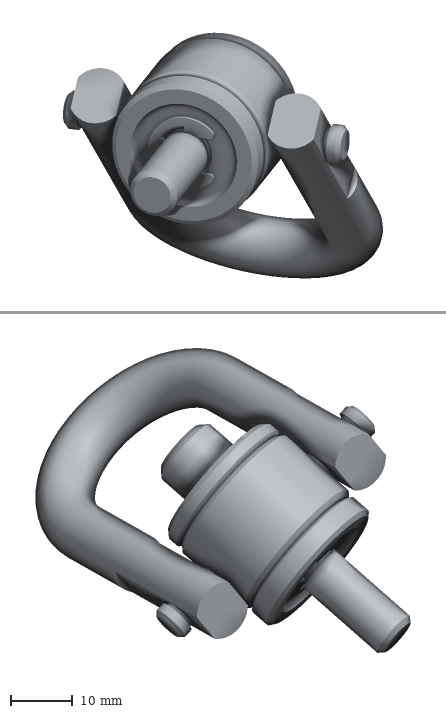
import cadquery as cq
import math


housing_radius = 12.7
housing_half_length = 7.6
housing_chamfer = 0.85
journal_radius = 2.5
journal_end_x = 21.0
collar_radius = 2.6
trunnion_head_radius = 3.15
trunnion_head_length = 2.25
trunnion_head_chamfer = 0.7
trunnion_end_x = 23.6

shackle_tilt = 45
bar_radius = 4.85
leg_x = 16.7
leg_end = 8.0
leg_length = 34.9
flat_outer_x = 20.7
flat_inner_x = 12.9
flat_length = 17.5
flat_run_out = 0.5

bolt_radius = 4.0
bolt_tip_y = -28.8
bolt_tip_chamfer = 0.85
neck_radius = 3.5
flange_radius = 12.4
flange_thickness = 3.3
flange_edge_width = 0.85
flange_rear_chamfer = 0.9
flange_inner_chamfer = 0.7
head_radius = 5.95
head_end_y = 18.7
head_chamfer = 1.3

sleeve_radius = 7.7
bore_chamfer = 0.4
bush_flange_thickness = 4.4
bush_front_chamfer = 0.6
recess_radius = 9.05
recess_fillet = 0.9
recess_depth = 1.25

ring_radius = 6.3
ring_thickness = 0.6
ring_opening = 6.3
ring_tip_x = 4.8
ring_tip_fillet = 0.6
relief_radius = 4.85
relief_start_angle = 92
relief_end_angle = 153

flange_rear_y = housing_half_length + flange_thickness
bush_front_y = -housing_half_length - bush_flange_thickness
recess_floor_y = bush_front_y + recess_depth


def revolve_about_y(points):
    """Turn an outline of (radius, y) points about the Y axis."""
    return cq.Workplane("XY").polyline(points).close().revolve(360, (0, 0, 0), (0, 1, 0))


def cylinder_x(radius, start_x, end_x):
    """Cylinder along the X axis."""
    return cq.Workplane("YZ", origin=(start_x, 0, 0)).circle(radius).extrude(end_x - start_x)


def make_housing():
    barrel = cq.Workplane("XZ").circle(housing_radius).extrude(housing_half_length, both=True)
    housing = barrel.faces("|Y").chamfer(housing_chamfer)
    head_start_x = trunnion_end_x - trunnion_head_length
    trunnion = cylinder_x(journal_radius, 0, journal_end_x)
    trunnion = trunnion.union(cylinder_x(collar_radius, journal_end_x, head_start_x))
    head = cylinder_x(trunnion_head_radius, head_start_x, trunnion_end_x)
    trunnion = trunnion.union(head.faces(">X").chamfer(trunnion_head_chamfer))
    housing = housing.union(trunnion).union(trunnion.mirror("YZ"))
    bore = cq.Workplane("XZ").circle(sleeve_radius).extrude(housing_half_length, both=True)
    return housing.cut(bore)


def flat_cutter(flat_x, clear_x):
    """Block that mills one leg to the plane X = flat_x, from the free end to a sloped run-out."""
    slope_end = flat_length + flat_run_out
    outline = [(flat_x, -leg_end), (flat_x, flat_length), (clear_x, slope_end), (clear_x, -leg_end)]
    return cq.Workplane("XY", origin=(0, 0, -bar_radius)).polyline(outline).close().extrude(2 * bar_radius)


def make_shackle():
    path = (
        cq.Workplane("XY")
        .moveTo(leg_x, -leg_end)
        .lineTo(leg_x, leg_length)
        .threePointArc((0, leg_length + leg_x), (-leg_x, leg_length))
        .lineTo(-leg_x, -leg_end)
    )
    shackle = cq.Workplane("XZ", origin=(leg_x, -leg_end, 0)).circle(bar_radius).sweep(path)
    cutters = [
        flat_cutter(flat_outer_x, leg_x + bar_radius),
        flat_cutter(flat_inner_x, leg_x - bar_radius),
    ]
    for cutter in cutters:
        shackle = shackle.cut(cutter).cut(cutter.mirror("YZ"))
    shackle = shackle.cut(cylinder_x(journal_radius, -trunnion_end_x, trunnion_end_x))
    return shackle.rotate((0, 0, 0), (1, 0, 0), -shackle_tilt)


def make_bolt():
    flange_edge_radius = flange_radius - flange_edge_width
    return revolve_about_y([
        (0, bolt_tip_y),
        (bolt_radius - bolt_tip_chamfer, bolt_tip_y),
        (bolt_radius, bolt_tip_y + bolt_tip_chamfer),
        (bolt_radius, bush_front_y),
        (neck_radius, bush_front_y),
        (neck_radius, recess_floor_y),
        (bolt_radius, recess_floor_y),
        (bolt_radius, housing_half_length),
        (flange_edge_radius, housing_half_length),
        (flange_radius, housing_half_length + flange_inner_chamfer),
        (flange_radius, flange_rear_y - flange_rear_chamfer),
        (flange_edge_radius, flange_rear_y),
        (head_radius, flange_rear_y),
        (head_radius, head_end_y - head_chamfer),
        (head_radius - head_chamfer, head_end_y),
        (0, head_end_y),
    ])


def recess_floor_plane():
    """Plane of the recess floor, facing the bolt tip."""
    return cq.Workplane("XZ", origin=(0, recess_floor_y, 0))


def make_bush():
    flange_edge_radius = flange_radius - flange_edge_width
    bush = revolve_about_y([
        (bolt_radius, recess_floor_y + bore_chamfer),
        (bolt_radius + bore_chamfer, recess_floor_y),
        (bolt_radius + bore_chamfer, bush_front_y),
        (flange_edge_radius, bush_front_y),
        (flange_radius, bush_front_y + bush_front_chamfer),
        (flange_radius, -housing_half_length - flange_inner_chamfer),
        (flange_edge_radius, -housing_half_length),
        (sleeve_radius, -housing_half_length),
        (sleeve_radius, housing_half_length),
        (bolt_radius, housing_half_length),
    ])
    recess = recess_floor_plane().circle(recess_radius).extrude(recess_depth)
    return bush.cut(recess.faces(">Y").edges().fillet(recess_fillet))


def polar(radius, angle):
    """Point at a distance and an angle in degrees from the origin."""
    return radius * math.cos(math.radians(angle)), radius * math.sin(math.radians(angle))


def relief_slot():
    """Clearance between the ring and the bolt, on the upper side."""
    middle_angle = (relief_start_angle + relief_end_angle) / 2
    return (
        recess_floor_plane()
        .lineTo(*polar(relief_radius, relief_start_angle))
        .threePointArc(polar(relief_radius, middle_angle), polar(relief_radius, relief_end_angle))
        .close()
        .extrude(ring_thickness)
    )


def make_ring():
    ring = recess_floor_plane().circle(ring_radius).extrude(ring_thickness)
    opening = recess_floor_plane().center(ring_radius / 2, 0).rect(ring_radius, ring_opening)
    ring = ring.cut(opening.extrude(ring_thickness))
    tip_trim = recess_floor_plane().center(ring_tip_x + ring_radius, 0).rect(2 * ring_radius, 2 * ring_radius)
    ring = ring.cut(tip_trim.extrude(ring_thickness))
    ring = ring.edges("|Y and >X").fillet(ring_tip_fillet)
    ring = ring.cut(recess_floor_plane().circle(neck_radius).extrude(ring_thickness))
    upper_relief = relief_slot()
    return ring.cut(upper_relief).cut(upper_relief.mirror("XY"))


housing = make_housing()
shackle = make_shackle()
bolt = make_bolt()
bush = make_bush()
retaining_ring = make_ring()

result = cq.Compound.makeCompound([
    housing.val(),
    shackle.val(),
    bolt.val(),
    bush.val(),
    retaining_ring.val(),
])